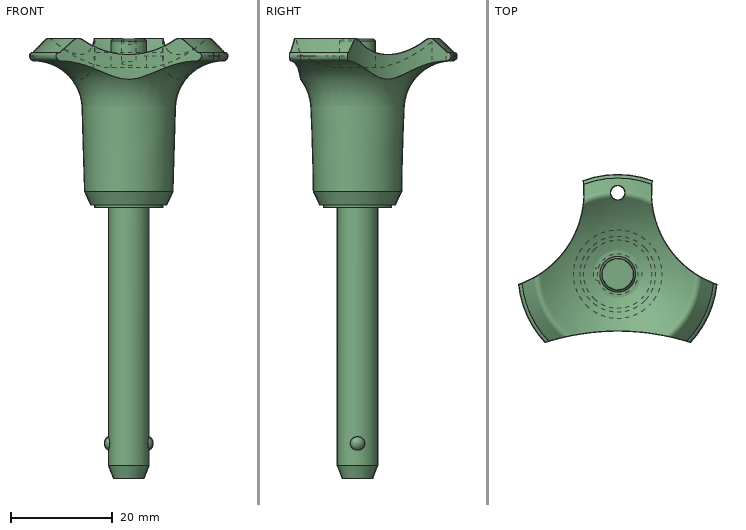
import cadquery as cq
import math


handle_height = 33.25
sleeve_top_z = 19.9
sleeve_taper_end_z = 3.15
sleeve_top_radius = 9.2
sleeve_bottom_radius = 8.7
sleeve_foot_radius = 7.45
collar_radius = 6.7
collar_height = 0.5

head_radius = 19.6
lip_upper_radius = 0.7
lip_lower_radius = 1.0
crest_round_radius = 1.0
crest_radius = 15.75
dish_radius = 22.0
dish_floor_radius = 4.67

top_arm_half_width = 6.65
side_scallop_radius = 19.05
side_scallop_y = 16.0
front_scallop_radius = 47.2
front_scallop_y = -11.2

lanyard_hole_diameter = 2.8
lanyard_hole_y = 16.0

button_radius = 3.5
button_chamfer = 0.4
button_top_drop = 0.1

pin_length = 53.25
pin_radius = 4.0
tip_radius = 3.0
tip_length = 2.6
ball_radius = 1.5
ball_reach = 4.8
ball_height_above_tip = 6.9


def point_on(centre, radius, degrees):
    angle = math.radians(degrees)
    return (centre[0] + radius * math.cos(angle), centre[1] + radius * math.sin(angle))


def make_handle_blank():
    """Revolve the handle outline; its points are (radius, height)."""
    crest_centre = (crest_radius, handle_height - crest_round_radius)
    crest_peak = point_on(crest_centre, crest_round_radius, 90)
    crest_outer = point_on(crest_centre, crest_round_radius, 45)
    lip_top_radius = head_radius - lip_upper_radius
    lip_top = (lip_top_radius, crest_outer[1] - (lip_top_radius - crest_outer[0]))
    lip_upper_centre = (lip_top_radius, lip_top[1] - lip_upper_radius)
    lip_equator = (head_radius, lip_upper_centre[1])
    lip_lower_centre = (head_radius - lip_lower_radius, lip_equator[1])
    lip_bottom = point_on(lip_lower_centre, lip_lower_radius, -90)

    flare_run = lip_bottom[0] - sleeve_top_radius
    flare_rise = lip_bottom[1] - sleeve_top_z
    flare_radius = (flare_run**2 + flare_rise**2) / (2 * flare_rise)
    flare_centre = (lip_bottom[0], lip_bottom[1] - flare_radius)
    flare_middle = point_on(flare_centre, flare_radius, 135)

    dish_reach = dish_radius + crest_round_radius
    dish_centre = (0, crest_centre[1] + math.sqrt(dish_reach**2 - crest_radius**2))
    crest_angle = math.degrees(math.acos(crest_radius / dish_reach))
    crest_inner = point_on(crest_centre, crest_round_radius, 180 - crest_angle)
    floor_angle = -math.degrees(math.acos(dish_floor_radius / dish_radius))
    dish_middle = point_on(dish_centre, dish_radius, (floor_angle - crest_angle) / 2)
    floor_edge = point_on(dish_centre, dish_radius, floor_angle)

    outline = (
        cq.Workplane("XZ")
        .moveTo(0, 0)
        .lineTo(collar_radius, 0)
        .lineTo(collar_radius, collar_height)
        .lineTo(sleeve_foot_radius, collar_height)
        .lineTo(sleeve_bottom_radius, sleeve_taper_end_z)
        .lineTo(sleeve_top_radius, sleeve_top_z)
        .threePointArc(flare_middle, lip_bottom)
        .threePointArc(point_on(lip_lower_centre, lip_lower_radius, -45), lip_equator)
        .threePointArc(point_on(lip_upper_centre, lip_upper_radius, 45), lip_top)
        .lineTo(*crest_outer)
        .threePointArc(crest_peak, crest_inner)
        .threePointArc(dish_middle, floor_edge)
        .lineTo(0, floor_edge[1])
        .close()
    )
    return outline.revolve(360, (0, 0, 0), (0, 1, 0))


def make_upright_cylinder(centre_x, centre_y, radius):
    """Vertical cutter spanning the handle's height."""
    return cq.Workplane("XY").center(centre_x, centre_y).circle(radius).extrude(handle_height)


def make_side_scallop(side):
    """Deep round cutter whose nearest point to the axis plane sets the top arm's width."""
    centre_x = side * (top_arm_half_width + side_scallop_radius)
    return make_upright_cylinder(centre_x, side_scallop_y, side_scallop_radius)


def make_front_scallop():
    """Shallow round cutter on the -Y side, clear of the sleeve."""
    return make_upright_cylinder(0, front_scallop_y - front_scallop_radius, front_scallop_radius)


def make_lanyard_hole():
    return make_upright_cylinder(0, lanyard_hole_y, lanyard_hole_diameter / 2)


def make_button():
    """Button rising from inside the handle through the dish floor."""
    button_height = handle_height - button_top_drop - sleeve_top_z
    return (
        cq.Workplane("XY", origin=(0, 0, sleeve_top_z))
        .circle(button_radius)
        .extrude(button_height)
        .faces(">Z")
        .chamfer(button_chamfer)
    )


def make_pin():
    """Shank with a tapered tip, its top end seated inside the handle."""
    tip_z = -pin_length
    return (
        cq.Workplane("XZ")
        .moveTo(0, tip_z)
        .lineTo(tip_radius, tip_z)
        .lineTo(pin_radius, tip_z + tip_length)
        .lineTo(pin_radius, sleeve_taper_end_z)
        .lineTo(0, sleeve_taper_end_z)
        .close()
        .revolve(360, (0, 0, 0), (0, 1, 0))
    )


def make_locking_ball(side):
    centre_x = side * (ball_reach - ball_radius)
    return cq.Workplane("XY", origin=(centre_x, 0, ball_height_above_tip - pin_length)).sphere(ball_radius)


handle = make_handle_blank().cut(make_front_scallop()).cut(make_lanyard_hole())
pin = make_pin()
for side in (-1, 1):
    handle = handle.cut(make_side_scallop(side))
    pin = pin.union(make_locking_ball(side))

result = handle.union(make_button()).union(pin)